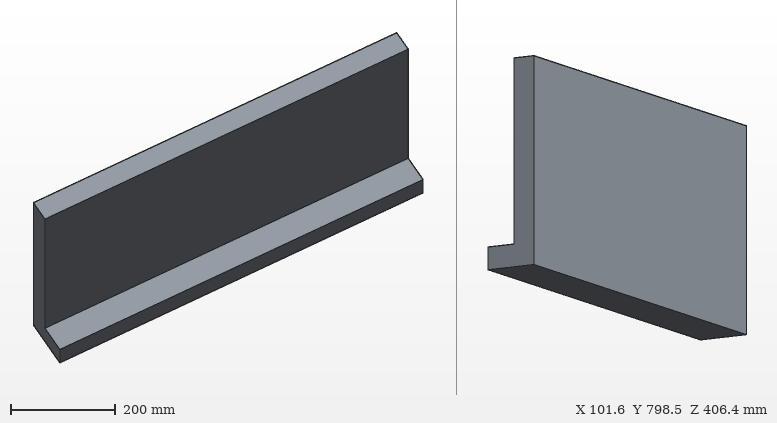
import cadquery as cq

width = 101.6
length = 798.51
height = 406.4
thickness = 44.45


def angle_profile():
    """L-shaped section in the XZ plane, outer corner at the origin."""
    return (
        cq.Workplane("XZ")
        .moveTo(0, 0)
        .lineTo(width, 0)
        .lineTo(width, thickness)
        .lineTo(thickness, thickness)
        .lineTo(thickness, height)
        .lineTo(0, height)
        .close()
    )


result = angle_profile().extrude(-length)